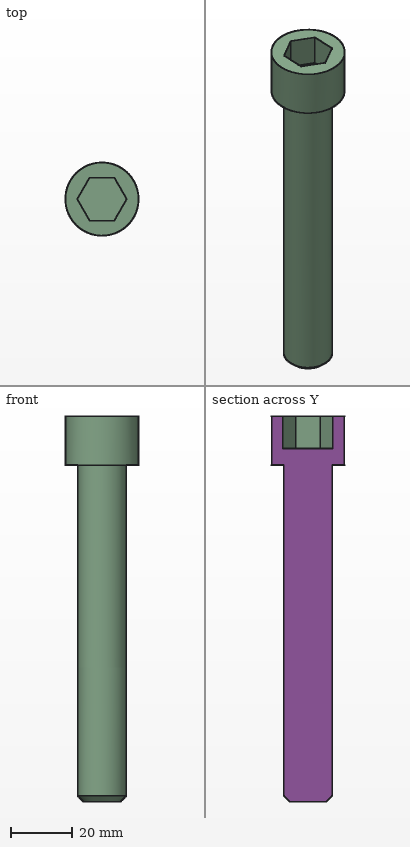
import cadquery as cq
import math

thread_diameter = 16.0
shank_length = 110.0
thread_length = 44.0
tip_chamfer = 2.0

head_diameter = 24.0
head_height = thread_diameter

hex_sides = 6
hex_across_flats = 14.0
hex_across_corners = hex_across_flats / math.cos(math.pi / hex_sides)
socket_depth = 10.5

plain_length = shank_length - thread_length


def cylinder(diameter, bottom_z, height):
    return cq.Workplane("XY").workplane(offset=bottom_z).circle(diameter / 2).extrude(height)


def make_head():
    """Cylindrical head with a hexagonal socket, two of its corners lying along X."""
    head = cylinder(head_diameter, 0, head_height)
    socket_plane = head.faces(">Z").workplane()
    return socket_plane.polygon(hex_sides, hex_across_corners).cutBlind(-socket_depth)


def make_plain_shank():
    """Unthreaded length directly under the head."""
    return cylinder(thread_diameter, -plain_length, plain_length)


def make_threaded_end():
    """Threaded length as a cylinder at its major diameter, with a chamfered tip."""
    threaded_end = cylinder(thread_diameter, -shank_length, thread_length)
    return threaded_end.faces("<Z").chamfer(tip_chamfer)


result = make_head().union(make_plain_shank(), clean=False).union(make_threaded_end(), clean=False)